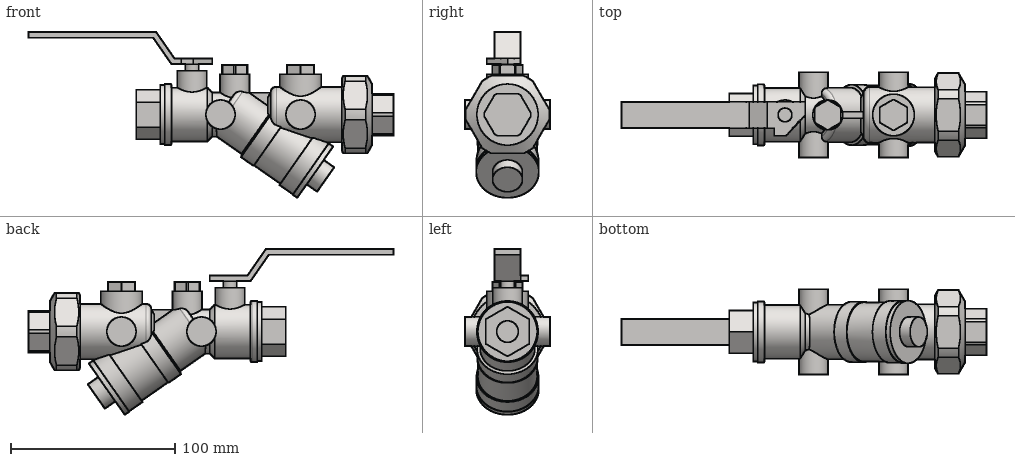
import cadquery as cq
import math


COS30 = math.cos(math.radians(30))

inlet_flats = 26.3
inlet_length = 14.7
inlet_bore_diameter = 13.1
flange_radius = 18.0
flange_end = 17.4
collar_radius = 18.7
collar_end = 21.5
collar_round = 1.0

barrel_radius = 16.5
barrel_end = 43.4
neck_radius = 13.5
neck_start = barrel_end + barrel_radius - neck_radius

outlet_radius = 17.0
outlet_face = 80.3
outlet_face_radius = 10.7
outlet_cone_end = 81.9
outlet_round = 3.3
outlet_end = 125.3

stem_x = 34.0
stem_boss_radius = 9.1
stem_boss_top = 26.7
stem_radius = 4.2
plug_boss_top = 24.7
plug_top = 30.3
small_plug_x = 60.0
small_plug_boss_radius = 9.1
small_plug_flats = 16.0
small_plug_corner_radius = 9.0
large_plug_x = 100.1
large_plug_boss_radius = 12.7
large_plug_flats = 16.5
large_plug_corner_radius = 9.3

port_xs = (51.5, large_plug_x)
port_radius = 9.0
port_span = 52.0

branch_x = 59.0
branch_angle = 35
branch_start = -6.5
branch_radius = 16.7
branch_round = 3.1
branch_cone_start = 18.0
branch_collar_start = 19.0
branch_collar_radius = 18.5
cap_start = 28.3
cap_radius = 18.0
cap_head_start = 47.8
cap_head_radius = 19.0
cap_rim_start = 57.8
cap_rim_radius = 19.1
cap_end = 61.2
cap_stub_radius = 9.1
cap_stub_end = 69.0

web_thickness = 4.0
web_start = 64.5
web_top = 13.4

nut_length = 18.5
nut_flats = 47.2
nut_corner_radius = 25.5
nut_front_chamfer = 2.0
nut_back_chamfer = 4.0
nut_chamfer_slope = math.tan(math.radians(60))
tail_end = 156.9
tail_flats = 25.5
tail_corner_radius = 14.2

handle_start = -65.6
handle_thickness = 3.5
handle_width = 16.0
handle_top = 50.3
handle_bend_x = 12.2
plate_bend_x = 23.4
plate_end = 46.5
plate_bottom = 30.7
stem_recess = 1.3
tab_start = 27.4
tab_corner_x = 34.7
tab_reach = 12.7


def hexagon_along_x(start, length, flats, corner_turn):
    """Hexagonal bar; corner_turn = 0 puts a corner on +Y, 90 puts one on +Z."""
    bar = cq.Workplane("YZ").polygon(6, flats / COS30).extrude(length)
    return bar.rotate((0, 0, 0), (1, 0, 0), corner_turn).translate((start, 0, 0))


def cylinder_along_x(start, length, radius):
    return cq.Workplane("YZ").circle(radius).extrude(length).translate((start, 0, 0))


def cylinder_along_z(x, top, radius):
    """Upright cylinder that rises from the pipe axis."""
    return cq.Workplane("XY").circle(radius).extrude(top).translate((x, 0, 0))


def revolve_about_x(profile):
    return profile.close().revolve(360, (0, 0, 0), (1, 0, 0))


def make_inlet():
    hexagon = hexagon_along_x(0, inlet_length, inlet_flats, 90)
    hexagon = hexagon.cut(cylinder_along_x(0, inlet_length, inlet_bore_diameter / 2))
    flange = cylinder_along_x(inlet_length, flange_end - inlet_length, flange_radius)
    collar = cylinder_along_x(flange_end, collar_end - flange_end, collar_radius)
    collar = collar.faces(">X").edges().fillet(collar_round)
    return hexagon.union(flange).union(collar)


def make_pipe():
    barrel = revolve_about_x(
        cq.Workplane("XZ")
        .moveTo(flange_end, 0)
        .lineTo(flange_end, barrel_radius)
        .lineTo(barrel_end, barrel_radius)
        .lineTo(neck_start, neck_radius)
        .lineTo(branch_x, neck_radius)
        .lineTo(branch_x, 0)
    )
    outlet = revolve_about_x(
        cq.Workplane("XZ")
        .moveTo(outlet_face, 0)
        .lineTo(outlet_face, outlet_face_radius)
        .lineTo(outlet_cone_end, outlet_radius - outlet_round)
        .radiusArc((outlet_cone_end + outlet_round, outlet_radius), outlet_round)
        .lineTo(outlet_end, outlet_radius)
        .lineTo(outlet_end, 0)
    )
    return barrel.union(outlet)


def make_branch():
    round_radius = branch_radius - branch_round
    branch = revolve_about_x(
        cq.Workplane("XZ")
        .moveTo(branch_start, 0)
        .lineTo(branch_start, round_radius)
        .radiusArc((branch_start + branch_round, branch_radius), branch_round)
        .lineTo(branch_cone_start, branch_radius)
        .lineTo(branch_collar_start, branch_collar_radius)
        .lineTo(cap_start, branch_collar_radius)
        .lineTo(cap_start, cap_radius)
        .lineTo(cap_head_start, cap_radius)
        .lineTo(cap_head_start, cap_head_radius)
        .lineTo(cap_rim_start, cap_head_radius)
        .lineTo(cap_rim_start, cap_rim_radius)
        .lineTo(cap_end, cap_rim_radius)
        .lineTo(cap_end, cap_stub_radius)
        .lineTo(cap_stub_end, cap_stub_radius)
        .lineTo(cap_stub_end, 0)
    )
    return branch.rotate((0, 0, 0), (0, 1, 0), branch_angle).translate((branch_x, 0, 0))


def make_web():
    length = outlet_cone_end - web_start
    web = cq.Workplane("XY").box(length, web_thickness, web_top, centered=(False, True, False))
    return web.translate((web_start, 0, 0))


def make_plug(x, boss_radius, flats, corner_radius):
    """Round boss with a hexagonal head; the head has two flats facing along X."""
    boss = cylinder_along_z(x, plug_boss_top, boss_radius)
    head = cq.Workplane("XY").polygon(6, flats / COS30).extrude(plug_top)
    head = head.rotate((0, 0, 0), (0, 0, 1), 90).translate((x, 0, 0))
    head = head.intersect(cylinder_along_z(x, plug_top, corner_radius))
    return boss.union(head)


def make_stem():
    boss = cylinder_along_z(stem_x, stem_boss_top, stem_boss_radius)
    stem_top = plate_bottom + handle_thickness - stem_recess
    return boss.union(cylinder_along_z(stem_x, stem_top, stem_radius))


def make_port(x):
    port = cq.Workplane("XZ").circle(port_radius).extrude(port_span / 2, both=True)
    return port.translate((x, 0, 0))


def make_housing():
    housing = make_pipe().union(make_branch()).union(make_inlet()).union(make_web())
    housing = housing.union(make_stem())
    housing = housing.union(
        make_plug(small_plug_x, small_plug_boss_radius, small_plug_flats, small_plug_corner_radius)
    )
    housing = housing.union(
        make_plug(large_plug_x, large_plug_boss_radius, large_plug_flats, large_plug_corner_radius)
    )
    for x in port_xs:
        housing = housing.union(make_port(x))
    return housing


def make_union_nut():
    nut_end = outlet_end + nut_length
    envelope = revolve_about_x(
        cq.Workplane("XZ")
        .moveTo(outlet_end, 0)
        .lineTo(outlet_end, nut_corner_radius - nut_front_chamfer * nut_chamfer_slope)
        .lineTo(outlet_end + nut_front_chamfer, nut_corner_radius)
        .lineTo(nut_end - nut_back_chamfer, nut_corner_radius)
        .lineTo(nut_end, nut_corner_radius - nut_back_chamfer * nut_chamfer_slope)
        .lineTo(nut_end, 0)
    )
    nut = hexagon_along_x(outlet_end, nut_length, nut_flats, 0).intersect(envelope)
    tail_length = tail_end - nut_end
    tail = hexagon_along_x(nut_end, tail_length, tail_flats, 0)
    tail = tail.intersect(cylinder_along_x(nut_end, tail_length, tail_corner_radius))
    return nut.union(tail)


def make_handle():
    plate_top = plate_bottom + handle_thickness
    slope_angle = math.atan2(handle_top - plate_top, plate_bend_x - handle_bend_x)
    bend_shift = handle_thickness * math.tan(slope_angle / 2)
    strip = (
        cq.Workplane("XZ")
        .moveTo(handle_start, handle_top)
        .lineTo(handle_bend_x, handle_top)
        .lineTo(plate_bend_x, plate_top)
        .lineTo(plate_end, plate_top)
        .lineTo(plate_end, plate_bottom)
        .lineTo(plate_bend_x - bend_shift, plate_bottom)
        .lineTo(handle_bend_x - bend_shift, handle_top - handle_thickness)
        .lineTo(handle_start, handle_top - handle_thickness)
        .close()
        .extrude(handle_width / 2, both=True)
    )
    tab = (
        cq.Workplane("XY", origin=(0, 0, plate_bottom))
        .moveTo(tab_start, 0)
        .lineTo(tab_start, -tab_reach)
        .lineTo(tab_corner_x, -tab_reach)
        .lineTo(plate_end, 0)
        .close()
        .extrude(handle_thickness)
    )
    corner = (
        cq.Workplane("XY", origin=(0, 0, plate_bottom))
        .moveTo(plate_end, 0)
        .lineTo(tab_corner_x, -tab_reach)
        .lineTo(plate_end, -tab_reach)
        .close()
        .extrude(handle_thickness)
    )
    stem_hole = cylinder_along_z(stem_x, handle_top, stem_radius)
    return strip.union(tab).cut(corner).cut(stem_hole)


housing = make_housing()
union_nut = make_union_nut()
handle = make_handle()

result = cq.Compound.makeCompound([housing.val(), union_nut.val(), handle.val()])